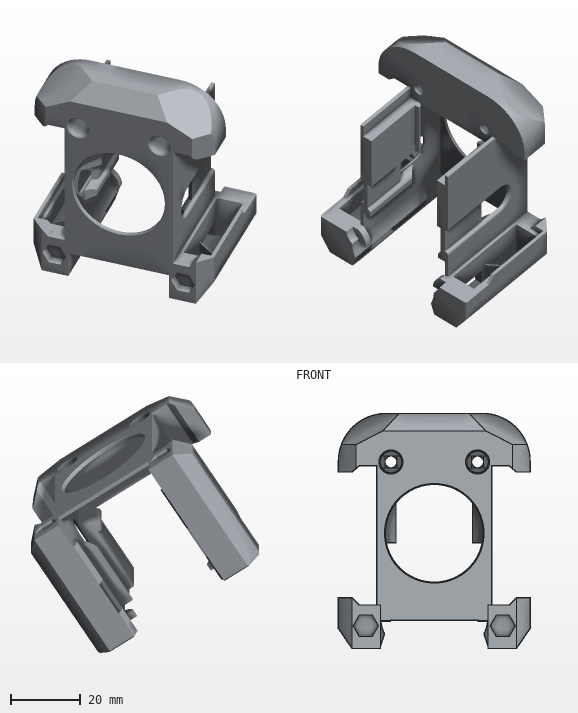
import cadquery as cq

half_width = 27.5
height = 67.4
depth = 40.0

cap_depth = 14.15
cap_round = 13.8
wing_bottom = 50.55
wing_underside = 52.3
cap_core_bottom = 48.55
front_bevel = 5.05
corner_bevel = 5.1
facet_x = 14.75
facet_rise = 1.95

step_outer_x = 23.5
step_inner_x = 21.5

wall_outer = 16.5
wall_inner = 15.4
wall_top = 52.5
wall_depth = 35.05
plate_bottom = 8.1
plate_thickness = 1.1
bore_z = 33.0
bore_diameter = 28.0
bore_chamfer = 0.3

slot_width = 8.35
slot_z = 26.15
slot_end_y = 12.1
slot_edge_round = 1.0
selection_margin = 0.1

rail_inner = 12.35
rail_bottom = 30.3
lug_inner = 10.9
lug_back = 15.8
lug_flat = 0.75
panel_inner = 13.75
panel_front = 19.0
rib_inner = 12.8
rib_front = 13.3
rib_nose_length = 3.4
rib_sag = 0.4
rib_top = 21.2
rib_face_top = 19.55
rib_face_bottom = 17.8

screw_x = 12.4
screw_z = 53.45
screw_diameter = 3.4
head_diameter = 6.2
head_depth = 10.1
head_chamfer = 0.35
bridge_step = 0.3

duct_top = 12.55
duct_lip_top = 14.6
duct_bevel_z = 5.8
duct_bevel_y = 4.2
lip_inner = 26.5
lip_end = 29.7
lip_front_depth = 4.7
rear_chamfer = 0.4
tip_x = 14.2
tip_z = 4.2
overhang_sag = 0.3
overhang_front = 8.1
tab_inner = 12.55
tab_bottom = 7.75
tab_back = 37.15
tab_sag = 0.7
shoulder_x = 17.5
shoulder_z = 9.1
shoulder_sag = 0.5
pocket_outer = 25.4
pocket_inner = 17.5
pocket_front = 6.1
pocket_back = 34.05
pocket_back_slope = 2.1
floor_outer_z = 6.5
floor_inner_z = 0.55
floor_sag = 1.2
inner_wall_bottom = 5.25
outlet_front = 21.6
outlet_back = 31.95
outlet_lip_x = 15.45
fin_thickness = 0.55
fin_top = 6.7
fin_start = (24.9, 14.8)
fin_end = (16.2, 21.0)
nut_x = 19.6
nut_z = 6.55
nut_flats = 6.3
nut_depth = 2.7
overcut = 0.7


def box(x0, x1, y0, y1, z0, z1):
    """Box between two corners."""
    return cq.Workplane("XY").box(x1 - x0, y1 - y0, z1 - z0, centered=False).translate((x0, y0, z0))


def front_plane(y):
    """Plane facing the front at depth y: local X is X, local Y is Z, extrusion by -d goes back."""
    return cq.Workplane("XZ", origin=(0, y, 0))


def prism_y(points, y0, y1):
    """Prism along Y with an XZ outline."""
    return front_plane(y0).polyline(points).close().extrude(y0 - y1)


def prism_z(points, z0, z1):
    """Prism along Z with an XY outline."""
    return cq.Workplane("XY", origin=(0, 0, z0)).polyline(points).close().extrude(z1 - z0)


def both_sides(left):
    """Left feature joined with its mirror image."""
    return left.union(left.mirror("YZ"))


def cap():
    """Rounded cap with wings, bevelled along its front."""
    arc_x = half_width - cap_round
    arc_z = height - cap_round
    diagonal = cap_round * 0.5 ** 0.5
    body = (
        front_plane(0)
        .moveTo(-half_width, wing_bottom)
        .lineTo(-half_width, arc_z)
        .threePointArc((-arc_x - diagonal, arc_z + diagonal), (-arc_x, height))
        .lineTo(arc_x, height)
        .threePointArc((arc_x + diagonal, arc_z + diagonal), (half_width, arc_z))
        .lineTo(half_width, wing_bottom)
        .lineTo(step_outer_x, wing_bottom)
        .lineTo(step_inner_x, wing_underside)
        .lineTo(wall_inner, wing_underside)
        .lineTo(wall_inner, cap_core_bottom)
        .lineTo(-wall_inner, cap_core_bottom)
        .lineTo(-wall_inner, wing_underside)
        .lineTo(-step_inner_x, wing_underside)
        .lineTo(-step_outer_x, wing_bottom)
        .close()
        .extrude(-cap_depth)
    )
    top_bevel = (
        cq.Workplane("YZ", origin=(-half_width, 0, 0))
        .polyline([(0, height), (front_bevel, height), (0, height - front_bevel)])
        .close()
        .extrude(2 * half_width)
    )
    side_bevel = prism_z(
        [(-half_width, 0), (-half_width + corner_bevel, 0), (-half_width, corner_bevel)], 0, height
    )
    facet_plane = cq.Plane(
        origin=(-facet_x, 0, height - front_bevel), xDir=(1, -1, 0), normal=(-1, -1, facet_rise)
    )
    facet = cq.Workplane(facet_plane).rect(height, height).extrude(half_width)
    return body.cut(top_bevel).cut(both_sides(side_bevel)).cut(both_sides(facet))


def side_wall():
    """Left wall with a slot that is open to the back and rounded along its outer edge."""
    wall = box(-wall_outer, -wall_inner, 0, wall_depth, duct_top, wall_top)
    slot_half = slot_width / 2
    slot = (
        cq.Workplane("YZ", origin=(-wall_outer, 0, 0))
        .moveTo(wall_depth, slot_z - slot_half)
        .lineTo(slot_end_y, slot_z - slot_half)
        .threePointArc((slot_end_y - slot_half, slot_z), (slot_end_y, slot_z + slot_half))
        .lineTo(wall_depth, slot_z + slot_half)
        .close()
        .extrude(wall_outer - wall_inner)
    )
    slot_edges = cq.selectors.BoxSelector(
        (-wall_outer - selection_margin, slot_end_y - slot_width, slot_z - slot_width),
        (-wall_outer + selection_margin, wall_depth - selection_margin, slot_z + slot_width),
    )
    return wall.cut(slot).edges(slot_edges).fillet(slot_edge_round)


def wall_fittings():
    """Rail, lug, panel and rib on the inner face of the left wall."""
    rail = box(-wall_inner, -rail_inner, lug_back, wall_depth, rail_bottom, cap_core_bottom)
    lug_front = lug_back - lug_flat
    lug = prism_z(
        [
            (-wall_inner, lug_back),
            (-lug_inner, lug_back),
            (-lug_inner, lug_front),
            (-wall_inner, lug_front - (wall_inner - lug_inner)),
        ],
        rail_bottom,
        cap_core_bottom,
    )
    panel = prism_z(
        [
            (-wall_inner, panel_front),
            (-panel_inner, panel_front + wall_inner - panel_inner),
            (-panel_inner, wall_depth),
            (-wall_inner, wall_depth),
        ],
        rib_face_bottom,
        rail_bottom,
    )
    rib = (
        front_plane(rib_front)
        .moveTo(-wall_inner, rib_top)
        .sagittaArc((-rib_inner, rib_face_top), rib_sag)
        .lineTo(-rib_inner, rib_face_bottom)
        .lineTo(-wall_inner, rib_face_bottom)
        .close()
        .extrude(rib_front - wall_depth)
    )
    rib_nose = prism_z(
        [
            (-wall_inner, rib_front),
            (-rib_inner, rib_front),
            (-rib_inner, rib_front + rib_nose_length),
        ],
        rib_face_bottom,
        rib_top,
    )
    return rail.union(lug).union(panel).union(rib.cut(rib_nose))


def screw_hole():
    """Left counterbored hole; two thin steps lead from the counterbore to the round hole."""
    center = (-screw_x, screw_z)
    hole = front_plane(0).center(*center).circle(screw_diameter / 2).extrude(-cap_depth)
    head = front_plane(0).center(*center).circle(head_diameter / 2).extrude(-head_depth)
    mouth = (
        front_plane(0).center(*center).circle(head_diameter / 2 + head_chamfer)
        .extrude(-head_chamfer, taper=45)
    )
    step = (
        front_plane(head_depth).center(*center).rect(head_diameter, screw_diameter).extrude(-bridge_step)
        .intersect(front_plane(head_depth).center(*center).circle(head_diameter / 2).extrude(-bridge_step))
    )
    square = (
        front_plane(head_depth).center(*center).rect(screw_diameter, screw_diameter)
        .extrude(-2 * bridge_step)
    )
    return hole.union(head).union(mouth).union(step).union(square)


def housing():
    """Front plate, side walls and cap in one piece."""
    plate = box(-wall_inner, wall_inner, 0, plate_thickness, plate_bottom, cap_core_bottom)
    bore = front_plane(0).center(0, bore_z).circle(bore_diameter / 2).extrude(-plate_thickness)
    bore_mouth = (
        front_plane(0).center(0, bore_z).circle(bore_diameter / 2 + bore_chamfer)
        .extrude(-bore_chamfer, taper=45)
    )
    body = plate.cut(bore).cut(bore_mouth)
    body = body.union(both_sides(side_wall())).union(both_sides(wall_fittings())).union(cap())
    return body.cut(both_sides(screw_hole()))


def shoulder(top, foot, sag, y0, y1):
    """Prism along Y whose top falls from one XZ point to another in an arc, bulging if sag > 0."""
    return (
        front_plane(y0)
        .moveTo(*top)
        .sagittaArc(foot, sag)
        .lineTo(top[0], foot[1])
        .close()
        .extrude(y0 - y1)
    )


def duct_shell():
    """Outside of the left duct with its lip, overhang and tab."""
    block = prism_y(
        [
            (-half_width, duct_bevel_z),
            (-half_width, duct_top),
            (-shoulder_x, duct_top),
            (-shoulder_x, 0),
            (-step_outer_x, 0),
        ],
        0,
        depth,
    )
    inner_side = box(-shoulder_x, -wall_inner, 0, tab_back, 0, duct_top)
    lip = (
        cq.Workplane("YZ", origin=(-half_width, 0, 0))
        .polyline([
            (0, duct_top),
            (0, duct_lip_top),
            (lip_end - (duct_lip_top - duct_top), duct_lip_top),
            (lip_end, duct_top),
        ])
        .close()
        .extrude(half_width - lip_inner)
    )
    lip_front = prism_y(
        [
            (-half_width, duct_top),
            (-half_width, duct_lip_top),
            (-step_outer_x, duct_lip_top),
            (-step_inner_x, duct_top),
        ],
        0,
        lip_front_depth,
    )
    overhang = (
        front_plane(overhang_front)
        .moveTo(-wall_inner, shoulder_z)
        .sagittaArc((-tip_x, tip_z), -overhang_sag)
        .lineTo(-outlet_lip_x, floor_inner_z)
        .lineTo(-outlet_lip_x, 0)
        .lineTo(-shoulder_x, 0)
        .lineTo(-shoulder_x, shoulder_z)
        .close()
        .extrude(overhang_front - depth)
    )
    rear_shoulder = shoulder(
        (-shoulder_x, duct_top), (-wall_inner, shoulder_z), -shoulder_sag, tab_back, depth
    )
    tab = shoulder(
        (-wall_inner, duct_top), (-tab_inner, tab_bottom), tab_sag, wall_depth, tab_back
    )
    front_bevel_cut = prism_z(
        [(-half_width, 0), (-step_outer_x, 0), (-half_width, duct_bevel_y)], 0, height
    )
    rear_side_chamfer = prism_z(
        [(-half_width, depth), (-half_width + rear_chamfer, depth), (-half_width, depth - rear_chamfer)],
        0,
        height,
    )
    rear_bottom_chamfer = (
        cq.Workplane("YZ", origin=(-half_width, 0, 0))
        .polyline([(depth, 0), (depth, rear_chamfer), (depth - rear_chamfer, 0)])
        .close()
        .extrude(half_width)
    )
    shell = block.union(inner_side).union(lip).union(lip_front).union(overhang)
    shell = shell.union(rear_shoulder).union(tab).cut(front_bevel_cut)
    return shell.cut(rear_side_chamfer).cut(rear_bottom_chamfer)


def duct_chamber():
    """Space inside the left duct: open at the top, with an outlet along its inner side."""
    chamber = (
        front_plane(pocket_front)
        .moveTo(-pocket_outer, duct_top + overcut)
        .lineTo(-pocket_outer, floor_outer_z)
        .sagittaArc((-pocket_inner, floor_inner_z), -floor_sag)
        .lineTo(-pocket_inner, duct_top + overcut)
        .close()
        .extrude(pocket_front - pocket_back)
    )
    sloped_back = (
        cq.Workplane("YZ", origin=(-half_width, 0, 0))
        .polyline([
            (pocket_back, duct_top),
            (pocket_back, floor_inner_z),
            (pocket_back - pocket_back_slope, floor_inner_z),
        ])
        .close()
        .extrude(half_width)
    )
    outlet = prism_y(
        [
            (-pocket_inner, inner_wall_bottom),
            (-tip_x, tip_z),
            (-outlet_lip_x, floor_inner_z),
            (-pocket_inner, floor_inner_z),
        ],
        outlet_front,
        outlet_back,
    )
    return chamber.cut(sloped_back).union(outlet)


def duct_fin():
    """Low upright fin running diagonally across the chamber floor."""
    return prism_z(
        [
            (-fin_start[0], fin_start[1]),
            (-fin_end[0], fin_end[1]),
            (-fin_end[0], fin_end[1] - fin_thickness),
            (-fin_start[0], fin_start[1] - fin_thickness),
        ],
        floor_inner_z,
        fin_top,
    )


def duct():
    """Left duct with a nut recess in its front face."""
    nut_corners = nut_flats / 0.75 ** 0.5
    nut = front_plane(0).center(-nut_x, nut_z).polygon(6, nut_corners).extrude(-nut_depth)
    return duct_shell().cut(duct_chamber().cut(duct_fin())).cut(nut)


housing_body = housing()
ducts = []
for is_right in (False, True):
    side_duct = duct()
    ducts.append(side_duct.mirror("YZ") if is_right else side_duct)

result = cq.Compound.makeCompound(
    [housing_body.solids().val(), *(side_duct.solids().val() for side_duct in ducts)]
)